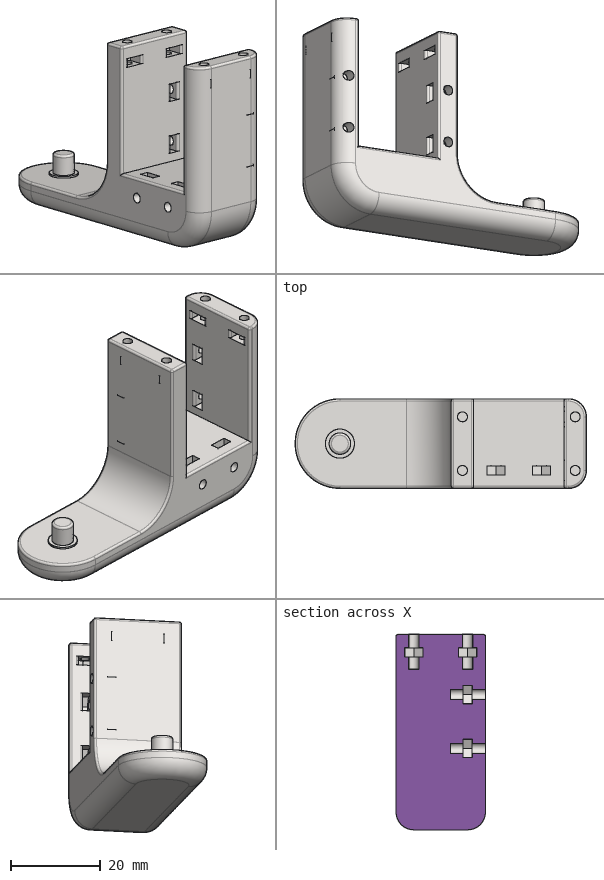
import cadquery as cq
import math

length = 65.0
width = 20.0
height = 43.7
half_width = width / 2

base_height = 6.0
floor_height = 14.25
wall_thickness = 5.0
fork_gap = 20.15
bend_radius = 10.0
bottom_round = 4.0
edge_round = 0.5

back_wall_inner = length - wall_thickness
front_wall_inner = back_wall_inner - fork_gap
front_wall_outer = front_wall_inner - wall_thickness

pin_x = half_width
pin_diameter = 4.8
pin_top = 11.0
pin_round = 0.5
collar_diameter = 6.5
collar_height = 0.4

screw_diameter = 2.2
screw_depth = 7.8
nut_flats = 4.0
nut_thickness = 2.0
nut_inset = 4.0
nut_slot_length = 5.2
nut_corner_radius = nut_flats / math.sqrt(3)

wall_screw_y = half_width - nut_inset
side_screw_low = 18.2
side_screw_pitch = 12.0
floor_screw_offset = 5.1
floor_screw_drop = 4.55


def make_body():
    """Side profile cut to the rounded plan outline, then all outer edges rounded."""
    profile = (
        cq.Workplane("XZ", origin=(0, half_width, 0))
        .lineTo(length, 0)
        .lineTo(length, height)
        .lineTo(back_wall_inner, height)
        .lineTo(back_wall_inner, floor_height)
        .lineTo(front_wall_inner, floor_height)
        .lineTo(front_wall_inner, height)
        .lineTo(front_wall_outer, height)
        .lineTo(front_wall_outer, base_height + bend_radius)
        .radiusArc((front_wall_outer - bend_radius, base_height), bend_radius)
        .lineTo(0, base_height)
        .close()
        .extrude(width)
    )
    plan = (
        cq.Workplane("XY")
        .moveTo(half_width, -half_width)
        .lineTo(length, -half_width)
        .lineTo(length, half_width)
        .lineTo(half_width, half_width)
        .threePointArc((0, 0), (half_width, -half_width))
        .close()
        .extrude(height)
    )
    body = profile.edges("(>X and <Z) and |Y").fillet(bend_radius).intersect(plan)

    body = body.faces("<Z").edges("|X").fillet(bottom_round)

    sweep_zone = cq.selectors.BoxSelector(
        (front_wall_outer - bend_radius, -width, base_height),
        (front_wall_outer, width, base_height + bend_radius),
    )
    wall_tops = body.faces(">Z").edges()
    wall_rims = body.faces("|X").faces("not >X").edges("|Z")
    floor_rims = body.faces("|Z").faces("not (<Z or >Z)").edges("not |Y")
    sweep_rims = body.edges("%CIRCLE").edges(sweep_zone)
    rims = wall_tops.add(wall_rims).add(floor_rims).add(sweep_rims)
    return rims.fillet(edge_round)


def make_pin():
    """Round-topped pin standing on a thin collar at the centre of the rounded end."""
    base = cq.Workplane("XY", origin=(pin_x, 0, base_height))
    collar = base.circle(collar_diameter / 2).extrude(collar_height)
    pin = base.circle(pin_diameter / 2).extrude(pin_top - base_height)
    return collar.union(pin.faces(">Z").edges().fillet(pin_round))


def make_screw_cut(entry, inward, nut_opening):
    """Blind screw hole from a face, with a hex nut slot open towards nut_opening.

    One corner of the hexagon points away from the opening.
    """
    entry = cq.Vector(*entry)
    inward = cq.Vector(*inward)
    nut_opening = cq.Vector(*nut_opening)
    hole_plane = cq.Workplane(cq.Plane(entry, nut_opening, inward))
    hole = hole_plane.circle(screw_diameter / 2).extrude(screw_depth)

    nut_start = entry + inward * (nut_inset - nut_thickness / 2)
    nut_plane = cq.Workplane(cq.Plane(nut_start, nut_opening, inward))
    nut = nut_plane.polygon(6, 2 * nut_corner_radius).extrude(nut_thickness)
    slot = (
        nut_plane.center(nut_slot_length / 2, 0)
        .rect(nut_slot_length, nut_flats)
        .extrude(nut_thickness)
    )
    return hole.union(nut).union(slot)


def cut_wall_screws(body):
    """Each wall takes two screws from its top and two from its +Y side."""
    for wall_inner, opening in ((front_wall_inner, 1), (back_wall_inner, -1)):
        wall_middle = wall_inner - opening * wall_thickness / 2
        nut_opening = (opening, 0, 0)
        for y in (-wall_screw_y, wall_screw_y):
            body = body.cut(make_screw_cut((wall_middle, y, height), (0, 0, -1), nut_opening))
        for z in (side_screw_low, side_screw_low + side_screw_pitch):
            body = body.cut(make_screw_cut((wall_middle, half_width, z), (0, -1, 0), nut_opening))

    mouth_zone = cq.selectors.BoxSelector(
        (front_wall_inner - edge_round / 2, -half_width + 2 * edge_round, floor_height),
        (back_wall_inner + edge_round / 2, half_width - 2 * edge_round, height - 2 * edge_round),
    )
    return body.edges("|Z").edges(mouth_zone).fillet(edge_round)


def cut_floor_screws(body):
    """The fork floor takes two screws from the -Y side."""
    fork_middle = front_wall_inner + fork_gap / 2
    for x in (fork_middle - floor_screw_offset, fork_middle + floor_screw_offset):
        entry = (x, -half_width, floor_height - floor_screw_drop)
        body = body.cut(make_screw_cut(entry, (0, 1, 0), (0, 0, 1)))
    return body


result = make_body().union(make_pin())
result = cut_wall_screws(result)
result = cut_floor_screws(result).solids()